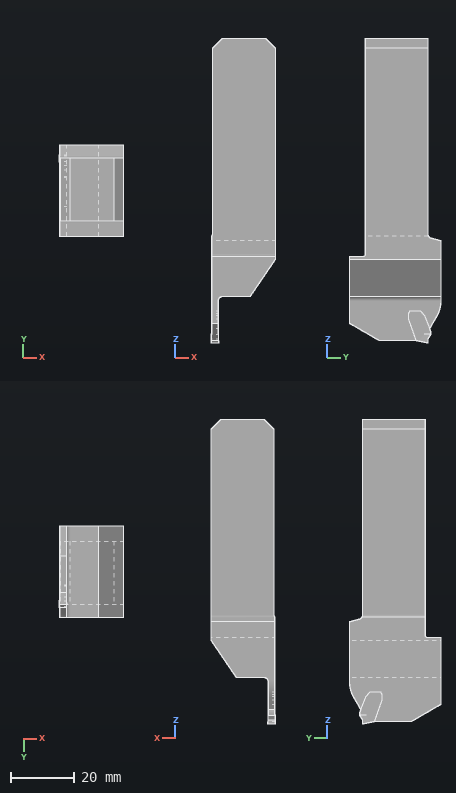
import cadquery as cq
import math

total_height = 96.6
shank_width = 20.0
shank_depth = 19.9
shank_rear_y = 5.0
shank_front_y = shank_rear_y + shank_depth
shank_setback = 0.3
shank_end_chamfer = 3.1
shank_right_x = shank_setback + shank_width

head_bottom_z = 0.8
head_front_y = 29.1
front_shoulder_z = 32.5
front_shoulder_angle = 15.0
rear_shoulder_z = 27.5
step_z = 33.9
front_fillet = 1.3
rear_fillet = 0.6
rear_chamfer_y = 9.5
rear_chamfer_z = 6.3
nose_corner_z = 10.8
nose_angle = 30.0
nose_radius = 9.7

blade_thickness = 2.1
blade_fillet = 1.45
block_bottom_z = 14.8
block_bottom_x = 12.3
block_slope_top_z = 26.6

insert_heel_y = 21.2
insert_body_points = [
    (25.5, 4.6), (23.9, 8.7), (22.6, 10.1), (19.1, 10.1), (18.7, 9.4),
    (18.7, 7.6), (insert_heel_y, head_bottom_z),
]
insert_tip_points = [(24.9, 0.0), (24.9, 1.4), (25.8, 2.7), (25.8, 3.7)]
hinge_top = (23.9, 2.9)
hinge_bottom_y = 22.1
hinge_fraction = (hinge_bottom_y - insert_heel_y) / (insert_tip_points[0][0] - insert_heel_y)
hinge_bottom = (hinge_bottom_y, head_bottom_z * (1 - hinge_fraction))
tip_flare = 0.2


def make_side_outline():
    """Shank and head outline in the YZ plane, extruded across the full width."""
    shoulder_rise = (head_front_y - shank_front_y) * math.tan(math.radians(front_shoulder_angle))
    front_root_z = front_shoulder_z + shoulder_rise
    nose_run = (nose_corner_z - head_bottom_z) * math.tan(math.radians(nose_angle))
    outline = (
        cq.Workplane("YZ")
        .moveTo(shank_rear_y, total_height)
        .lineTo(shank_front_y, total_height)
        .lineTo(shank_front_y, front_root_z)
        .lineTo(head_front_y, front_shoulder_z)
        .lineTo(head_front_y, nose_corner_z)
        .lineTo(head_front_y - nose_run, head_bottom_z)
        .lineTo(rear_chamfer_y, head_bottom_z)
        .lineTo(0, rear_chamfer_z)
        .lineTo(0, rear_shoulder_z)
        .lineTo(shank_rear_y, rear_shoulder_z)
        .close()
        .extrude(shank_right_x)
    )
    rounded_corners = [
        (shank_front_y, front_root_z, front_fillet),
        (shank_rear_y, rear_shoulder_z, rear_fillet),
        (head_front_y, nose_corner_z, nose_radius),
    ]
    for y, z, radius in rounded_corners:
        corner = cq.selectors.NearestToPointSelector((shank_right_x / 2, y, z))
        outline = outline.edges("|X").edges(corner).fillet(radius)
    return outline


def make_front_outline():
    """Shank, block and blade outline in the XZ plane, extruded along Y."""
    arc_height = math.sqrt(front_fillet**2 - (front_fillet - shank_setback) ** 2)
    half_sweep = math.asin(arc_height / front_fillet) / 2
    step_top_z = step_z + arc_height
    arc_mid = (
        shank_setback - front_fillet * (1 - math.cos(half_sweep)),
        step_top_z - front_fillet * math.sin(half_sweep),
    )
    return (
        cq.Workplane("XZ")
        .moveTo(0, 0)
        .lineTo(0, step_z)
        .threePointArc(arc_mid, (shank_setback, step_top_z))
        .lineTo(shank_setback, total_height - shank_end_chamfer)
        .lineTo(shank_setback + shank_end_chamfer, total_height)
        .lineTo(shank_right_x - shank_end_chamfer, total_height)
        .lineTo(shank_right_x, total_height - shank_end_chamfer)
        .lineTo(shank_right_x, block_slope_top_z)
        .lineTo(block_bottom_x, block_bottom_z)
        .lineTo(blade_thickness + blade_fillet, block_bottom_z)
        .radiusArc((blade_thickness, block_bottom_z - blade_fillet), -blade_fillet)
        .lineTo(blade_thickness, 0)
        .close()
        .extrude(-head_front_y)
    )


def make_tip_flare():
    """Wedge on the blade face that grows outward with distance from the hinge line."""
    hinge_y = hinge_bottom[0] - hinge_top[0]
    hinge_z = hinge_bottom[1] - hinge_top[1]
    hinge_length = math.hypot(hinge_y, hinge_z)
    along = cq.Vector(0, hinge_y / hinge_length, hinge_z / hinge_length)
    outward = cq.Vector(0, -along.z, along.y)
    tip_y, tip_z = insert_tip_points[0]
    reach = (tip_y - hinge_top[0]) * outward.y + (tip_z - hinge_top[1]) * outward.z
    wedge_plane = cq.Plane(origin=(0, *hinge_top), xDir=outward, normal=along)
    wedge = (
        cq.Workplane(wedge_plane)
        .polyline([(0, 0), (reach, 0), (reach, -tip_flare)])
        .close()
        .extrude(2 * hinge_length, both=True)
    )
    tip_corner = (insert_tip_points[2][0], hinge_top[1])
    tip_zone = (
        cq.Workplane("YZ")
        .workplane(offset=-tip_flare)
        .polyline([hinge_top, hinge_bottom, *insert_tip_points[:3], tip_corner])
        .close()
        .extrude(tip_flare)
    )
    return wedge.intersect(tip_zone)


def make_insert():
    """Cutting insert, as thick as the blade, with a tip flared on both sides."""
    body = (
        cq.Workplane("YZ")
        .polyline(insert_body_points + insert_tip_points)
        .close()
        .extrude(blade_thickness)
    )
    flare = make_tip_flare()
    opposite_flare = flare.mirror("YZ").translate((blade_thickness, 0, 0))
    return body.union(flare).union(opposite_flare)


insert = make_insert()
holder = make_side_outline().intersect(make_front_outline()).cut(insert)

result = cq.Compound.makeCompound([holder.solids().val(), insert.solids().val()])